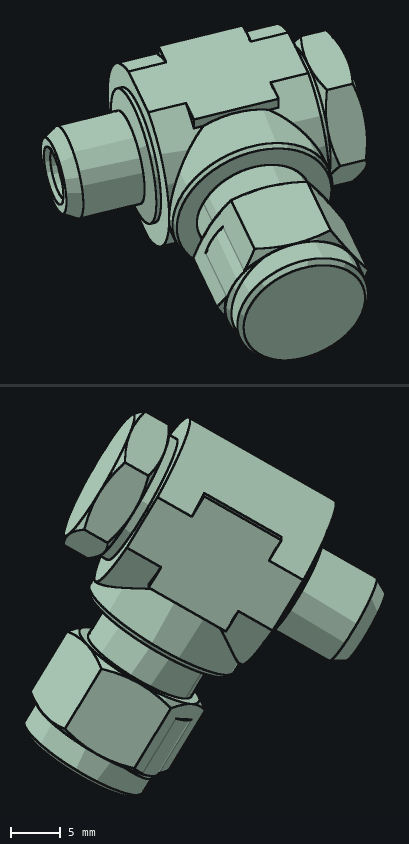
import cadquery as cq
import math


BODY_RADIUS = 9.5
BODY_LENGTH = 17.0
BODY_HEIGHT = 18.0
PAD_WIDTH = 11.0
PAD_LENGTH = 9.0
BODY_HALF = BODY_LENGTH / 2

BRANCH_RADIUS = BODY_HALF
BRANCH_END = 11.0
BRANCH_CHAMFER = 0.5

ACROSS_FLATS = 14.0
FLAT_RADIUS = ACROSS_FLATS / 2
CORNER_RADIUS = FLAT_RADIUS / math.cos(math.radians(30))
CHAMFER_SLOPE = math.tan(math.radians(30))
CORNER_CHAMFER = (CORNER_RADIUS - FLAT_RADIUS) * CHAMFER_SLOPE

WASHER_RADIUS = 7.0
WASHER_THICKNESS = 1.0
WASHER_RIM = 0.5
HEAD_THICKNESS = 4.0
SPIGOT_RADIUS = 4.83
SPIGOT_LENGTH = 8.0
SPIGOT_CHAMFER = 1.5
BORE_RADIUS = 2.5
BORE_MOUTH_RADIUS = 3.0
BORE_MOUTH_DEPTH = 0.5
BORE_DEPTH = 1.25
WASHER_END = BODY_HALF + WASHER_THICKNESS
SPIGOT_END = WASHER_END + SPIGOT_LENGTH

NECK_RADIUS = 6.0
NUT_START = 15.0
NUT_LENGTH = 8.5
NUT_END = NUT_START + NUT_LENGTH
TAIL_RADIUS = 6.95
TAIL_LENGTH = 3.0
TAIL_CHAMFER = 0.5

SLEEVE_OFFSET = 0.7
SLEEVE_NECK_RADIUS = 5.38
SLEEVE_RADIUS = 6.65
SLEEVE_STEP = 16.8
SLEEVE_TAPER = 1.5


def turned(profile):
    """Revolve a half profile of (radius, height) points about Z."""
    return cq.Workplane("XZ").polyline(profile).close().revolve(360, (0, 0, 0), (0, 1, 0))


def along_x(shape):
    """Turn a shape built along +Z so that it points along +X; its X turns to -Z."""
    return shape.rotate((0, 0, 0), (0, 1, 0), 90)


def along_minus_y(shape):
    """Turn a shape built along +Z so that it points along -Y."""
    return shape.rotate((0, 0, 0), (1, 0, 0), 90)


def chamfered_hexagon(start, length):
    """Hexagon along Z with its flats facing +X and -X and its corners chamfered at both ends."""
    end = start + length
    prism = (
        cq.Workplane("XY", origin=(0, 0, start))
        .polygon(6, 2 * CORNER_RADIUS)
        .extrude(length)
        .rotate((0, 0, 0), (0, 0, 1), 30)
    )
    envelope = turned([
        (0, start),
        (FLAT_RADIUS, start),
        (CORNER_RADIUS, start + CORNER_CHAMFER),
        (CORNER_RADIUS, end - CORNER_CHAMFER),
        (FLAT_RADIUS, end),
        (0, end),
    ])
    return prism.intersect(envelope)


def make_body():
    """Barrel cut flat above and below, with a rectangular pad widening each flat."""
    barrel = cq.Workplane("XZ").circle(BODY_RADIUS).extrude(BODY_HALF, both=True)
    flats = cq.Workplane("XY").box(2 * BODY_RADIUS, BODY_LENGTH, BODY_HEIGHT)
    pads = cq.Workplane("XY").box(PAD_WIDTH, PAD_LENGTH, BODY_HEIGHT)
    return barrel.intersect(flats).union(pads)


def make_branch():
    """Cylindrical side branch with a shallow chamfer at its end."""
    return along_x(turned([
        (0, 0),
        (BRANCH_RADIUS, 0),
        (BRANCH_RADIUS, BRANCH_END - BRANCH_CHAMFER),
        (BRANCH_RADIUS - BRANCH_CHAMFER * CHAMFER_SLOPE, BRANCH_END),
        (0, BRANCH_END),
    ]))


def make_bolt():
    """Banjo bolt: washers beyond both body faces, spigot with a blind bore, hexagon head."""
    shank = turned([
        (0, -WASHER_END),
        (WASHER_RADIUS, -WASHER_END),
        (WASHER_RADIUS, BODY_HALF + WASHER_RIM),
        (SPIGOT_RADIUS, WASHER_END),
        (SPIGOT_RADIUS, SPIGOT_END - SPIGOT_CHAMFER),
        (SPIGOT_RADIUS - SPIGOT_CHAMFER * CHAMFER_SLOPE, SPIGOT_END),
        (BORE_MOUTH_RADIUS, SPIGOT_END),
        (BORE_RADIUS, SPIGOT_END - BORE_MOUTH_DEPTH),
        (BORE_RADIUS, SPIGOT_END - BORE_DEPTH),
        (0, SPIGOT_END - BORE_DEPTH),
    ])
    head = chamfered_hexagon(-WASHER_END - HEAD_THICKNESS, HEAD_THICKNESS)
    head = head.rotate((0, 0, 0), (0, 0, 1), 90)
    return along_minus_y(shank.union(head))


def make_outlet():
    """Neck, union nut and chamfered tail in line with the branch."""
    tail_end = NUT_END + TAIL_LENGTH
    core = turned([
        (0, 0),
        (NECK_RADIUS, 0),
        (NECK_RADIUS, NUT_START),
        (TAIL_RADIUS, NUT_START),
        (TAIL_RADIUS, tail_end - TAIL_CHAMFER),
        (TAIL_RADIUS - TAIL_CHAMFER, tail_end),
        (0, tail_end),
    ])
    return along_x(core.union(chamfered_hexagon(NUT_START, NUT_LENGTH)))


def make_sleeve():
    """Off-axis stepped sleeve that breaks through the neck and two nut flats, then tapers off."""
    sleeve = turned([
        (0, 0),
        (SLEEVE_NECK_RADIUS, 0),
        (SLEEVE_NECK_RADIUS, SLEEVE_STEP),
        (SLEEVE_RADIUS, SLEEVE_STEP),
        (SLEEVE_RADIUS, NUT_END),
        (SLEEVE_RADIUS - SLEEVE_TAPER * CHAMFER_SLOPE, NUT_END + SLEEVE_TAPER),
        (0, NUT_END + SLEEVE_TAPER),
    ])
    return along_x(sleeve).translate((0, -SLEEVE_OFFSET, 0))


result = make_body()
for portion in (make_branch(), make_bolt(), make_outlet(), make_sleeve()):
    result = result.union(portion)